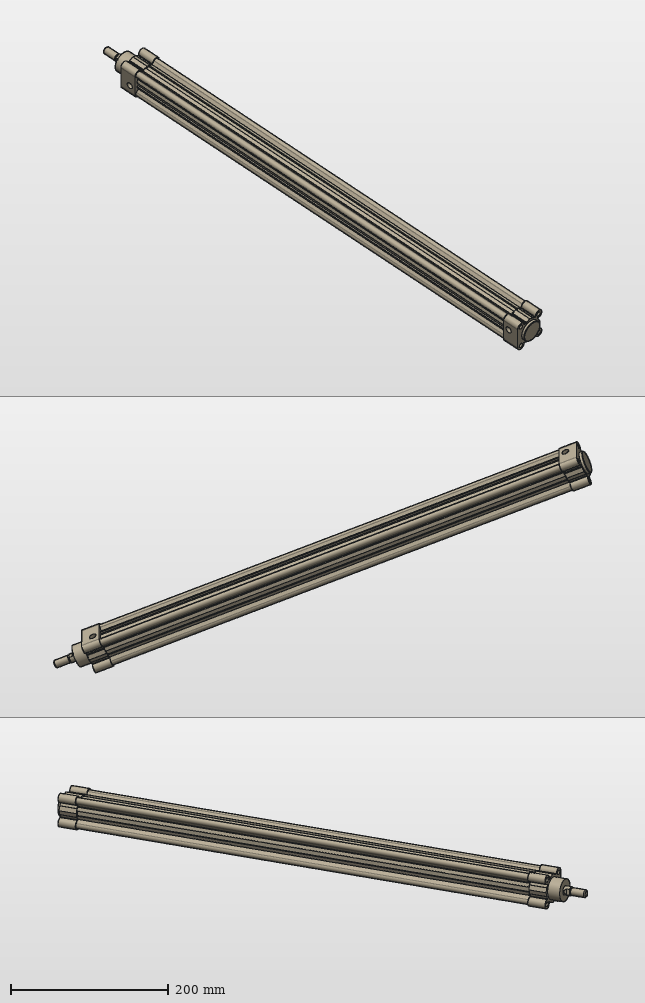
import cadquery as cq
import math

TOTAL_LENGTH = 746.0
THREAD_LENGTH = 22.0
FLATS_END_X = 26.0
FLATS_RAMP_END_X = 29.0
COLLAR_START_X = 30.5
FRONT_CAP_X = 48.0
CAP_LENGTH = 24.5
REAR_BOSS_LENGTH = 4.5
BARREL_START_X = FRONT_CAP_X + CAP_LENGTH
REAR_CAP_END_X = TOTAL_LENGTH - REAR_BOSS_LENGTH
REAR_CAP_X = REAR_CAP_END_X - CAP_LENGTH

LOBE_OFFSET = 16.5
CAP_LOBE_RADIUS = 6.1
CAP_HALF_WIDTH = LOBE_OFFSET + CAP_LOBE_RADIUS
CAP_WEB_WIDTH = 7.5
CAP_CORE_RADIUS = 18.0
CAP_RIDGE_HEIGHT = 19.5
CAP_RIDGE_HALF_WIDTH = 6.0
COLLAR_RADIUS = 15.0
BOSS_CHAMFER = 1.0

BARREL_LOBE_RADIUS = 4.5
BARREL_WEB_WIDTH = 2 * BARREL_LOBE_RADIUS
BARREL_CORE_RADIUS = 16.0
BARREL_RIDGE_HEIGHT = 20.0
BARREL_RIDGE_HALF_WIDTH = 8.0
SLOT_WIDTH = 7.0
SLOT_FLOOR = 16.5

RIDGE_SLOPE = math.radians(20)

SCREW_RECESS_RADIUS = 3.0
SCREW_RECESS_DEPTH = 6.0

PORT_RADIUS = 4.5
PORT_DEPTH = 9.0
PORT_INSET = 9.0
PORT_OFFSET_Z = 5.0

THREAD_RADIUS = 5.0
THREAD_CHAMFER = 1.5
ROD_RADIUS = 6.0
WRENCH_HALF_WIDTH = 4.5

SIDES = [0, 90, 180, 270]
DIAGONALS = [45, 135, 225, 315]
LOBE_CENTERS = [(y * LOBE_OFFSET, z * LOBE_OFFSET) for y in (-1, 1) for z in (-1, 1)]


def cylinder(start_x, end_x, radius):
    """A cylinder on the X axis."""
    return cq.Workplane("YZ", origin=(start_x, 0, 0)).circle(radius).extrude(end_x - start_x)


def lobed_prism(start_x, end_x, core_radius, lobe_radius, web_width):
    """A round core with four diagonal webs that end in round lobes."""
    length = end_x - start_x
    plane = cq.Workplane("YZ", origin=(start_x, 0, 0))
    reach = math.hypot(LOBE_OFFSET, LOBE_OFFSET)
    prism = cylinder(start_x, end_x, core_radius)
    for angle in DIAGONALS:
        web = plane.transformed(rotate=(0, 0, angle)).center(reach / 2, 0)
        prism = prism.union(web.rect(reach, web_width).extrude(length))
    return prism.union(plane.pushPoints(LOBE_CENTERS).circle(lobe_radius).extrude(length))


def ridges(start_x, end_x, height, half_width):
    """Four roof-shaped ridges, one along the middle of each side, joined at the axis."""
    eave = height - half_width * math.tan(RIDGE_SLOPE)
    outline = [(0, -half_width), (eave, -half_width), (height, 0), (eave, half_width), (0, half_width)]
    body = cq.Workplane("YZ")
    for angle in SIDES:
        plane = cq.Workplane("YZ", origin=(start_x, 0, 0)).transformed(rotate=(0, 0, angle))
        body = body.union(plane.polyline(outline).close().extrude(end_x - start_x))
    return body


def screw_recesses(face_x, depth):
    """Four round cutters at the lobe centers; a positive depth runs toward +X."""
    face = cq.Workplane("YZ", origin=(face_x, 0, 0))
    return face.pushPoints(LOBE_CENTERS).circle(SCREW_RECESS_RADIUS).extrude(depth)


def end_cap(start_x, outer_face_x, inward, port_x, port_z):
    """A lobed cap with a flat port face on -Y; inward is the X sign pointing to the barrel."""
    end_x = start_x + CAP_LENGTH
    cap = lobed_prism(start_x, end_x, CAP_CORE_RADIUS, CAP_LOBE_RADIUS, CAP_WEB_WIDTH)
    cap = cap.union(ridges(start_x, end_x, CAP_RIDGE_HEIGHT, CAP_RIDGE_HALF_WIDTH))
    port_block = cq.Workplane("XY").box(
        CAP_LENGTH, CAP_HALF_WIDTH, 2 * LOBE_OFFSET, centered=(False, False, True)
    )
    cap = cap.union(port_block.translate((start_x, -CAP_HALF_WIDTH, 0)))
    cap = cap.cut(screw_recesses(outer_face_x, inward * SCREW_RECESS_DEPTH))
    port_face = cq.Workplane("XZ", origin=(port_x, -CAP_HALF_WIDTH, port_z))
    return cap.cut(port_face.circle(PORT_RADIUS).extrude(-PORT_DEPTH))


def make_front_cap():
    """The rod-side cap with its guide collar and the rod bore."""
    cap = end_cap(FRONT_CAP_X, FRONT_CAP_X, 1, BARREL_START_X - PORT_INSET, -PORT_OFFSET_Z)
    cap = cap.union(cylinder(COLLAR_START_X, FRONT_CAP_X, COLLAR_RADIUS))
    return cap.cut(cylinder(COLLAR_START_X, BARREL_START_X, ROD_RADIUS))


def make_rear_cap():
    """The closed cap with its centering boss."""
    cap = end_cap(REAR_CAP_X, REAR_CAP_END_X, -1, REAR_CAP_X + PORT_INSET, PORT_OFFSET_Z)
    boss = cylinder(REAR_CAP_END_X, TOTAL_LENGTH, COLLAR_RADIUS).faces(">X").chamfer(BOSS_CHAMFER)
    return cap.union(boss)


def make_barrel():
    """The profile barrel with a lengthwise slot in the middle of each side."""
    length = REAR_CAP_X - BARREL_START_X
    barrel = lobed_prism(
        BARREL_START_X, REAR_CAP_X, BARREL_CORE_RADIUS, BARREL_LOBE_RADIUS, BARREL_WEB_WIDTH
    )
    barrel = barrel.union(
        ridges(BARREL_START_X, REAR_CAP_X, BARREL_RIDGE_HEIGHT, BARREL_RIDGE_HALF_WIDTH)
    )
    slot_depth = BARREL_RIDGE_HEIGHT - SLOT_FLOOR
    plane = cq.Workplane("YZ", origin=(BARREL_START_X, 0, 0))
    for angle in SIDES:
        slot = plane.transformed(rotate=(0, 0, angle)).center(SLOT_FLOOR + slot_depth / 2, 0)
        barrel = barrel.cut(slot.rect(slot_depth, SLOT_WIDTH).extrude(length))
    return barrel


def make_rod():
    """The piston rod with its threaded end and two wrench flats that ramp out to full diameter."""
    rod = cylinder(THREAD_LENGTH, BARREL_START_X, ROD_RADIUS)
    flat_profile = [
        (THREAD_LENGTH, WRENCH_HALF_WIDTH),
        (FLATS_END_X, WRENCH_HALF_WIDTH),
        (FLATS_RAMP_END_X, ROD_RADIUS),
        (THREAD_LENGTH, ROD_RADIUS),
    ]
    flat = cq.Workplane("XY").polyline(flat_profile).close().extrude(ROD_RADIUS, both=True)
    rod = rod.cut(flat).cut(flat.mirror("XZ"))
    thread = cylinder(0, THREAD_LENGTH, THREAD_RADIUS).faces("<X or >X").chamfer(THREAD_CHAMFER)
    return rod.union(thread)


front_cap = make_front_cap()
rear_cap = make_rear_cap()
barrel = make_barrel()
rod = make_rod()

result = cq.Compound.makeCompound([front_cap.val(), rear_cap.val(), barrel.val(), rod.val()])